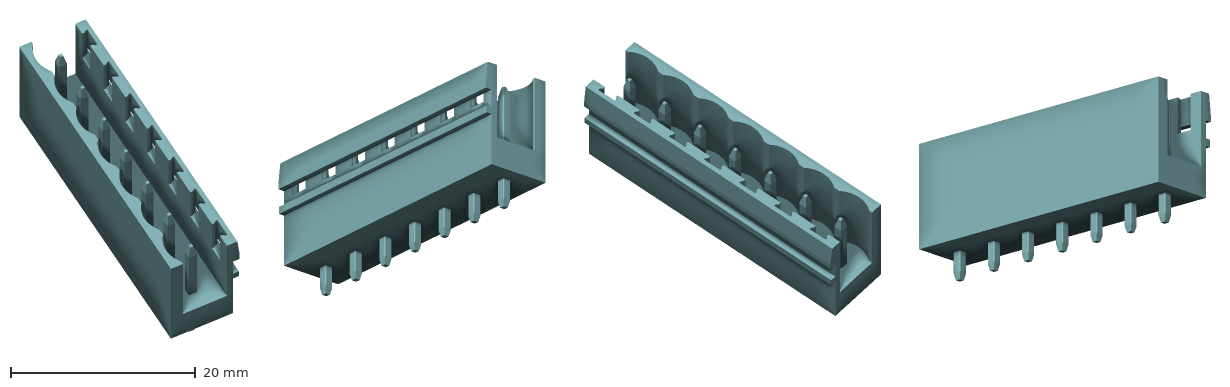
import cadquery as cq

length = 35.0
pin_count = 7
pitch = length / pin_count
pin_positions = [(i - (pin_count - 1) / 2) * pitch for i in range(pin_count)]

height = 12.0
floor_thickness = 3.4
front_y = -3.78
front_wall = 1.5
back_y = 3.85
back_wall = 0.77
cavity_front_y = front_y + front_wall
cavity_back_y = back_y - back_wall

ledge_projection = 0.8
ledge_top_setback = 0.28
ledge_depth = 3.15
ledge_taper_depth = 2.5
ledge_y = back_y + ledge_projection

rib_projection = 0.7
rib_height = 0.85
rib_top_z = height - 5.2

slot_depth = 4.13
slot_mouth_width = 1.85
slot_mouth_depth = 0.28
slot_flare_depth = 0.28
slot_back_width = 2.3

scallop_width = 4.27
scallop_depth = 0.75

pin_width = 1.0
pin_corner_radius = 0.15
pin_top_z = height - 0.95
pin_bottom_z = -3.2
top_taper_length = 1.25
top_tip_width = 0.4
bottom_taper_length = 0.9
bottom_tip_width = 0.6


def make_channel():
    """U-shaped housing profile with ledge and rib, extruded symmetrically along X."""
    outline = [
        (front_y, 0),
        (back_y, 0),
        (back_y, rib_top_z - rib_height),
        (back_y + rib_projection, rib_top_z - rib_height),
        (back_y + rib_projection, rib_top_z),
        (back_y, rib_top_z),
        (back_y, height - ledge_depth),
        (ledge_y, height - ledge_depth),
        (ledge_y, height - ledge_taper_depth),
        (ledge_y - ledge_top_setback, height),
        (cavity_back_y, height),
        (cavity_back_y, floor_thickness),
        (cavity_front_y, floor_thickness),
        (cavity_front_y, height),
        (front_y, height),
    ]
    return cq.Workplane("YZ").polyline(outline).close().extrude(length / 2, both=True)


def make_slot(x):
    """Undercut cutter as deep as the back wall: blind behind the ledge, open below it."""
    half_mouth = slot_mouth_width / 2
    half_back = slot_back_width / 2
    flare_start_y = cavity_back_y + slot_mouth_depth
    flare_end_y = flare_start_y + slot_flare_depth
    outline = [
        (-half_mouth, cavity_back_y),
        (half_mouth, cavity_back_y),
        (half_mouth, flare_start_y),
        (half_back, flare_end_y),
        (half_back, back_y),
        (-half_back, back_y),
        (-half_back, flare_end_y),
        (-half_mouth, flare_start_y),
    ]
    return (
        cq.Workplane("XY", origin=(x, 0, height - slot_depth))
        .polyline(outline)
        .close()
        .extrude(slot_depth)
    )


def make_scallop(x):
    """Circular-segment cutter running from the cavity floor to the top of the front wall."""
    half_width = scallop_width / 2
    return (
        cq.Workplane("XY", origin=(x, 0, floor_thickness))
        .moveTo(-half_width, cavity_front_y)
        .threePointArc((0, cavity_front_y - scallop_depth), (half_width, cavity_front_y))
        .close()
        .extrude(height - floor_thickness)
    )


def make_shank(x, bottom_z, top_z):
    """Square bar with rounded long edges, used for the pin and for its hole."""
    return (
        cq.Workplane("XY", origin=(x, 0, bottom_z))
        .rect(pin_width, pin_width)
        .extrude(top_z - bottom_z)
        .edges("|Z")
        .fillet(pin_corner_radius)
    )


def make_taper_profile(plane, x):
    """Straight pin side profile narrowing to both tips, in a vertical plane."""
    half_width = pin_width / 2
    half_top = top_tip_width / 2
    half_bottom = bottom_tip_width / 2
    top_shoulder_z = pin_top_z - top_taper_length
    bottom_shoulder_z = pin_bottom_z + bottom_taper_length
    outline = [
        (-half_bottom, pin_bottom_z),
        (half_bottom, pin_bottom_z),
        (half_width, bottom_shoulder_z),
        (half_width, top_shoulder_z),
        (half_top, pin_top_z),
        (-half_top, pin_top_z),
        (-half_width, top_shoulder_z),
        (-half_width, bottom_shoulder_z),
    ]
    return (
        cq.Workplane(plane, origin=(x, 0, 0))
        .polyline(outline)
        .close()
        .extrude(pin_width, both=True)
    )


def make_housing():
    housing = make_channel()
    for x in pin_positions:
        housing = housing.cut(make_slot(x))
        housing = housing.cut(make_scallop(x))
        housing = housing.cut(make_shank(x, 0, floor_thickness))
    return housing


def make_pin(x):
    shank = make_shank(x, pin_bottom_z, pin_top_z)
    return shank.intersect(make_taper_profile("XZ", x)).intersect(make_taper_profile("YZ", x))


housing = make_housing()
pins = [make_pin(x) for x in pin_positions]

result = cq.Compound.makeCompound([housing.val(), *[pin.val() for pin in pins]])